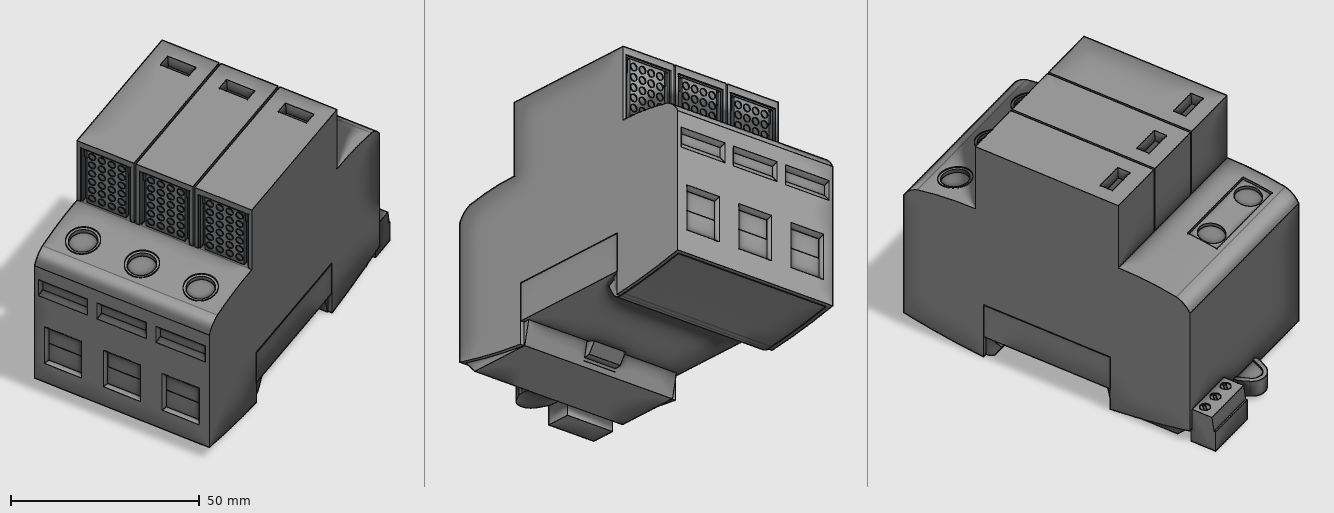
import cadquery as cq
import math


WIDTH = 53.5
DEPTH = 89.9
MID_Y = DEPTH / 2
HEIGHT = 72.4
POLES = 3
POLE_PITCH = 18.0

SHOULDER_TOP_Z = 50.8
SHOULDER_EDGE_Y = 4.3
SHOULDER_EDGE_Z = 49.0
FACE_TOP_Z = 45.2
FACE_BOTTOM_Z = 4.4
LEG_BOTTOM_Z = 0.5
SHOULDER_BULGE = 0.5
EDGE_BULGE = 0.6
LEG_BULGE = 0.4

NOTCH_WIDTH = 39.8
NOTCH_TOP_Z = 7.4
PANEL_TOP_Z = 18.5
PANEL_INSET = 0.2
WALL = 1.3
INNER_WIDTH = WIDTH - 2 * WALL
UNDERSIDE_RECESS = 0.2

MODULE_GAP = 0.6
MODULE_WIDTH = (WIDTH - (POLES - 1) * MODULE_GAP) / POLES
MODULE_PITCH = MODULE_WIDTH + MODULE_GAP
MODULE_DEPTH = 45.0
MODULE_FRONT_Y = MID_Y - MODULE_DEPTH / 2
MODULE_REAR_Y = MID_Y + MODULE_DEPTH / 2

GRILLE_FRAME_WIDTH = 15.4
GRILLE_TOP_Z = 70.25
GRILLE_RECESS = 1.9
GRILLE_RIM = 0.5
GRILLE_PLATE_WIDTH = 12.0
GRILLE_PLATE_RECESS = 0.6
GUIDE_BLOCK_BOTTOM_Z = 66.1
GUIDE_BLOCK_SINK = 1.5
VENT_COLUMNS = 4
VENT_ROWS = 6
VENT_PITCH = 3.0
VENT_RADIUS = 1.1
VENT_DEPTH = 0.3
VENT_TOP_Z = 67.8

INDICATOR_LENGTH = 8.7
INDICATOR_DEPTH_Y = 3.9
INDICATOR_Y = 60.8
INDICATOR_TAPER = 0.6
INDICATOR_SINK = 2.9

SCREW_Y = 10.6
SCREW_RIM_RADIUS = 4.7
SCREW_RIM_SINK = 0.3
SCREW_HOLE_RADIUS = 3.9
SCREW_HOLE_SINK = 1.5
SLOT_WIDTH = 15.1
SLOT_BOTTOM_Z = 34.9
SLOT_TOP_Z = 40.8
SLOT_FLOOR_WIDTH = 13.6
SLOT_FLOOR_BOTTOM_Z = 36.6
SLOT_FLOOR_TOP_Z = 39.5
SLOT_SINK = 1.1
ENTRY_WIDTH = 11.3
ENTRY_BOTTOM_Z = 11.2
ENTRY_TOP_Z = 24.4
ENTRY_FLOOR_WIDTH = 10.1
ENTRY_FLOOR_BOTTOM_Z = 11.7
ENTRY_FLOOR_TOP_Z = 23.4
ENTRY_SPLIT_Z = 17.7
ENTRY_SINK = 1.3
ENTRY_STEP = 0.1

LABEL_LEFT_X = -22.6
LABEL_RIGHT_X = 4.7
LABEL_FRONT_Y = 75.0
LABEL_REAR_Y = 84.3
LABEL_SINK = 0.8
LABEL_HOLES = 2
LABEL_HOLE_RADIUS = 3.8
LABEL_HOLE_SINK = 1.8

FOOT_BOTTOM_Z = 0.4
FOOT_OUTLINE = [
    (88.8, 4.1),
    (85.2, FOOT_BOTTOM_Z),
    (64.6, FOOT_BOTTOM_Z),
    (63.0, NOTCH_TOP_Z),
    (88.8, NOTCH_TOP_Z),
]
LATCH_HOOK_OUTLINE = [(65.0, 7.4), (63.0, 7.2), (59.9, 6.2), (62.1, 3.1), (65.0, 2.7)]
HOOK_ROOT = (22.4, 1.2)
HOOK_NECK = (27.8, 6.1)
HOOK_TIP = (30.0, 5.2)
HOOK_ROUND_START = (27.9, 1.7)
HOOK_ROUND_MIDDLE = (26.7, 0.8)
HOOK_ROUND_END = (25.1, LEG_BOTTOM_Z)
LATCH_FRONT_Y = 64.2
LATCH_BOTTOM_Z = 1.9
LATCH_TOP_Z = 7.1
LATCH_WIDTH = 10.7
TAB_OUTER = (5.3, 91.1, 3.7, 94.1, 96.4)
TAB_DISH = (4.0, 90.4, 2.7, 93.3, 95.2)
TAB_DISH_DEPTH = 0.5

CONNECTOR_LEFT_X = 10.1
CONNECTOR_WIDTH = 15.6
CONNECTOR_REAR_Y = 97.3
CONNECTOR_FRONT_Y = 89.5
CONNECTOR_STEP_Z = 6.7
CONNECTOR_TOP_Z = 11.2
PLUG_REAR_BOTTOM_Y = 96.8
PLUG_REAR_TOP_Y = 96.1
CONNECTOR_SCREWS = 3
CONNECTOR_SCREW_PITCH = 5.1
CONNECTOR_SCREW_Y = 92.2
CONNECTOR_SCREW_RADIUS = 1.5
CONNECTOR_SCREW_SINK = 0.4
DRIVER_SLOT_WIDTH = 0.8
DRIVER_SLOT_SINK = 0.5
DRIVER_SLOT_ANGLE = 45


def row(count, pitch):
    """Evenly spaced positions centred on zero."""
    return [pitch * (i - (count - 1) / 2) for i in range(count)]


def block(x_range, y_range, z_range):
    """Box between the given limits."""
    size = [high - low for low, high in (x_range, y_range, z_range)]
    corner = (x_range[0], y_range[0], z_range[0])
    return cq.Workplane("XY").box(*size, centered=False).translate(corner)


def span(centre, width):
    """Limits of a width about a centre."""
    return centre - width / 2, centre + width / 2


def across(outline, width, centre=0.0):
    """Extrude a YZ outline along X, centred on the given X."""
    return outline.extrude(width / 2, both=True).translate((centre, 0, 0))


def side_polygon(points):
    return cq.Workplane("YZ").polyline(points).close()


def bulged_middle(start, end, bulge):
    """Point off the middle of a chord, on the right of its direction."""
    length = math.dist(start, end)
    along = (end[0] - start[0]) / length, (end[1] - start[1]) / length
    return (start[0] + end[0]) / 2 + bulge * along[1], (start[1] + end[1]) / 2 - bulge * along[0]


def front_pocket(x, outer, floor, sink):
    """Tapered pocket in the front face; outer and floor are (width, bottom Z, top Z)."""
    loft = cq.Workplane("XZ")
    loft = loft.center(x, (outer[1] + outer[2]) / 2).rect(outer[0], outer[2] - outer[1])
    loft = loft.workplane(offset=-sink).center(0, (floor[1] + floor[2] - outer[1] - outer[2]) / 2)
    return loft.rect(floor[0], floor[2] - floor[1]).loft()


def hole_down(x, y, radius, floor_z, top_z):
    return cq.Workplane("XY", origin=(x, y, floor_z)).circle(radius).extrude(top_z - floor_z)


def half_base():
    """Front half of the base up to the middle plane."""
    leg_back_y = MID_Y - NOTCH_WIDTH / 2
    top_back = (MODULE_FRONT_Y, SHOULDER_TOP_Z)
    shoulder_edge = (SHOULDER_EDGE_Y, SHOULDER_EDGE_Z)
    face_top = (0, FACE_TOP_Z)
    face_bottom = (0, FACE_BOTTOM_Z)
    leg_bottom = (leg_back_y, LEG_BOTTOM_Z)
    outline = (
        cq.Workplane("YZ")
        .moveTo(MID_Y, NOTCH_TOP_Z)
        .lineTo(MID_Y, SHOULDER_TOP_Z)
        .lineTo(*top_back)
        .threePointArc(bulged_middle(top_back, shoulder_edge, SHOULDER_BULGE), shoulder_edge)
        .threePointArc(bulged_middle(shoulder_edge, face_top, EDGE_BULGE), face_top)
        .lineTo(*face_bottom)
        .threePointArc(bulged_middle(face_bottom, leg_bottom, LEG_BULGE), leg_bottom)
        .lineTo(leg_back_y, NOTCH_TOP_Z)
        .close()
    )
    half = across(outline, WIDTH)
    recess = half.intersect(
        block(span(0, INNER_WIDTH), (WALL, leg_back_y), (0, FACE_BOTTOM_Z))
    )
    lifted = half.translate((0, 0, UNDERSIDE_RECESS))
    return half.cut(recess.cut(lifted))


def plain_base():
    front = half_base()
    return front.union(front.mirror("XZ", (0, MID_Y, 0)))


def sunk(cutter, sink):
    """Limit a cutter to a constant depth below the curved shoulder."""
    return cutter.cut(plain_base().translate((0, 0, -sink)))


def base():
    body = plain_base()
    for side in (-1, 1):
        inset_x = span(side * (WIDTH - PANEL_INSET) / 2, PANEL_INSET)
        body = body.cut(block(inset_x, span(MID_Y, NOTCH_WIDTH), (NOTCH_TOP_Z, PANEL_TOP_Z)))
    return body


def grille_recess():
    """Stepped recess in the module front around a raised, perforated plate, about X = 0."""
    rim_y = MODULE_FRONT_Y + GRILLE_RIM
    plate_y = MODULE_FRONT_Y + GRILLE_PLATE_RECESS
    guide_y = MODULE_FRONT_Y + GUIDE_BLOCK_SINK
    floor_y = MODULE_FRONT_Y + GRILLE_RECESS
    inner_x = span(0, GRILLE_FRAME_WIDTH - 2 * GRILLE_RIM)
    inner_top_z = GRILLE_TOP_Z - GRILLE_RIM
    recess = block(span(0, GRILLE_FRAME_WIDTH), (MODULE_FRONT_Y, rim_y), (SHOULDER_TOP_Z, GRILLE_TOP_Z))
    recess = recess.union(block(inner_x, (MODULE_FRONT_Y, floor_y), (SHOULDER_TOP_Z, inner_top_z)))
    plate = block(span(0, GRILLE_PLATE_WIDTH), (plate_y, floor_y), (SHOULDER_TOP_Z, inner_top_z))
    guide_blocks = block(inner_x, (guide_y, floor_y), (GUIDE_BLOCK_BOTTOM_Z, inner_top_z))
    vent_mid_z = VENT_TOP_Z - VENT_PITCH * (VENT_ROWS - 1) / 2
    vents = (
        cq.Workplane("XZ", origin=(0, plate_y, vent_mid_z))
        .rarray(VENT_PITCH, VENT_PITCH, VENT_COLUMNS, VENT_ROWS)
        .circle(VENT_RADIUS)
        .extrude(-VENT_DEPTH)
    )
    return recess.cut(plate).cut(guide_blocks).union(vents)


def module():
    """Plug-in module standing on the base, about X = 0."""
    body = block(span(0, MODULE_WIDTH), (MODULE_FRONT_Y, MODULE_REAR_Y), (SHOULDER_TOP_Z, HEIGHT))
    indicator = (
        cq.Workplane("XY", origin=(0, INDICATOR_Y, HEIGHT))
        .rect(INDICATOR_LENGTH, INDICATOR_DEPTH_Y)
        .workplane(offset=-INDICATOR_SINK)
        .rect(INDICATOR_LENGTH - 2 * INDICATOR_TAPER, INDICATOR_DEPTH_Y - 2 * INDICATOR_TAPER)
        .loft()
    )
    return body.cut(indicator).cut(grille_recess())


def terminal_cuts(x):
    """Screw hole, marker slot and cable entry of one pole."""
    rim = sunk(hole_down(x, SCREW_Y, SCREW_RIM_RADIUS, FACE_TOP_Z, SHOULDER_TOP_Z), SCREW_RIM_SINK)
    screw_hole = hole_down(x, SCREW_Y, SCREW_HOLE_RADIUS, FACE_TOP_Z, SHOULDER_TOP_Z)
    screw_hole = sunk(screw_hole, SCREW_HOLE_SINK)
    slot = front_pocket(
        x,
        (SLOT_WIDTH, SLOT_BOTTOM_Z, SLOT_TOP_Z),
        (SLOT_FLOOR_WIDTH, SLOT_FLOOR_BOTTOM_Z, SLOT_FLOOR_TOP_Z),
        SLOT_SINK,
    )
    entry = front_pocket(
        x,
        (ENTRY_WIDTH, ENTRY_BOTTOM_Z, ENTRY_TOP_Z),
        (ENTRY_FLOOR_WIDTH, ENTRY_FLOOR_BOTTOM_Z, ENTRY_FLOOR_TOP_Z),
        ENTRY_SINK,
    )
    upper_flap = block(
        span(x, ENTRY_FLOOR_WIDTH),
        (ENTRY_SINK, ENTRY_SINK + ENTRY_STEP),
        (ENTRY_SPLIT_Z, ENTRY_FLOOR_TOP_Z),
    )
    return rim.union(screw_hole).union(slot).union(entry).union(upper_flap)


def label_recess():
    recess = block(
        (LABEL_LEFT_X, LABEL_RIGHT_X), (LABEL_FRONT_Y, LABEL_REAR_Y), (FACE_TOP_Z, SHOULDER_TOP_Z)
    )
    recess = sunk(recess, LABEL_SINK)
    hole_y = (LABEL_FRONT_Y + LABEL_REAR_Y) / 2
    for x in row(POLES, POLE_PITCH)[:LABEL_HOLES]:
        hole = hole_down(x, hole_y, LABEL_HOLE_RADIUS, FACE_TOP_Z, SHOULDER_TOP_Z)
        recess = recess.union(sunk(hole, LABEL_HOLE_SINK))
    return recess


def rail_foot():
    """Foot under the rear leg that reaches past the notch wall."""
    return across(side_polygon(FOOT_OUTLINE), INNER_WIDTH)


def fixed_hook():
    """Hook on the notch wall of the front leg."""
    outline = (
        cq.Workplane("YZ")
        .moveTo(HOOK_NECK[0], NOTCH_TOP_Z)
        .lineTo(*HOOK_NECK)
        .lineTo(*HOOK_TIP)
        .lineTo(*HOOK_ROUND_START)
        .threePointArc(HOOK_ROUND_MIDDLE, HOOK_ROUND_END)
        .lineTo(*HOOK_ROOT)
        .lineTo(HOOK_ROOT[0], NOTCH_TOP_Z)
        .close()
    )
    return across(outline, INNER_WIDTH)


def tab_outline(base_x, base_y, shoulder_x, shoulder_y, tip_y):
    """Outline that narrows along straight flanks to a round tip at the rear."""
    return (
        cq.Workplane("XY")
        .moveTo(-base_x, DEPTH - WALL)
        .lineTo(-base_x, base_y)
        .lineTo(-shoulder_x, shoulder_y)
        .threePointArc((0, tip_y), (shoulder_x, shoulder_y))
        .lineTo(base_x, base_y)
        .lineTo(base_x, DEPTH - WALL)
        .close()
    )


def latch():
    """Sliding latch: hook in the notch and rounded pull tab behind the base."""
    hook = across(side_polygon(LATCH_HOOK_OUTLINE), LATCH_WIDTH)
    slide = block(span(0, LATCH_WIDTH), (LATCH_FRONT_Y, DEPTH), (LATCH_BOTTOM_Z, LATCH_TOP_Z))
    tab = tab_outline(*TAB_OUTER).extrude(LATCH_TOP_Z - LATCH_BOTTOM_Z)
    tab = tab.translate((0, 0, LATCH_BOTTOM_Z))
    dish = tab_outline(*TAB_DISH).extrude(TAB_DISH_DEPTH)
    dish = dish.translate((0, 0, LATCH_TOP_Z - TAB_DISH_DEPTH))
    return hook.union(slide).union(tab.cut(dish))


def connector():
    """Signal connector behind the rear face with three slotted screws."""
    middle_x = CONNECTOR_LEFT_X + CONNECTOR_WIDTH / 2
    body = across(
        side_polygon([
            (CONNECTOR_FRONT_Y, 0), (CONNECTOR_REAR_Y, 0), (CONNECTOR_REAR_Y, CONNECTOR_STEP_Z),
            (PLUG_REAR_BOTTOM_Y, CONNECTOR_STEP_Z), (PLUG_REAR_TOP_Y, CONNECTOR_TOP_Z),
            (CONNECTOR_FRONT_Y, CONNECTOR_TOP_Z),
        ]),
        CONNECTOR_WIDTH,
        middle_x,
    )
    head_z = CONNECTOR_TOP_Z - CONNECTOR_SCREW_SINK
    for offset in row(CONNECTOR_SCREWS, CONNECTOR_SCREW_PITCH):
        x = middle_x + offset
        head = hole_down(x, CONNECTOR_SCREW_Y, CONNECTOR_SCREW_RADIUS, head_z, CONNECTOR_TOP_Z)
        driver_slot = (
            cq.Workplane("XY", origin=(x, CONNECTOR_SCREW_Y, head_z))
            .transformed(rotate=(0, 0, DRIVER_SLOT_ANGLE))
            .rect(2 * CONNECTOR_SCREW_RADIUS, DRIVER_SLOT_WIDTH)
            .extrude(-DRIVER_SLOT_SINK)
        )
        body = body.cut(head).cut(driver_slot)
    return body


result = base()
for terminal_x in row(POLES, POLE_PITCH):
    result = result.cut(terminal_cuts(terminal_x))
for module_x in row(POLES, MODULE_PITCH):
    result = result.union(module().translate((module_x, 0, 0)))
result = result.cut(label_recess())
result = result.union(rail_foot()).union(fixed_hook()).union(latch()).union(connector())